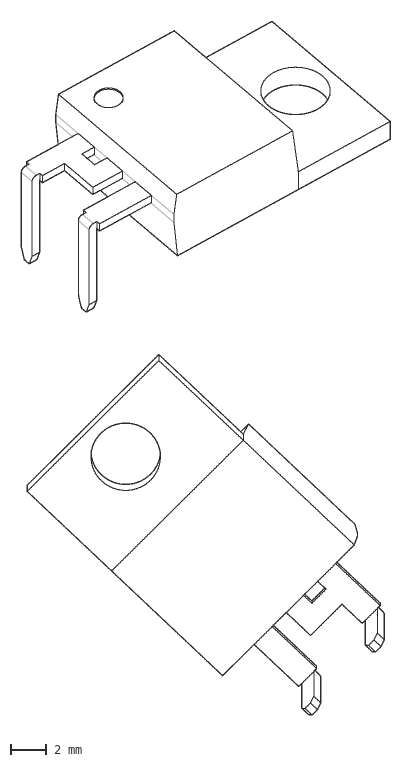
import cadquery as cq


package_width = 10.54
housing_length = 8.92
housing_height = 4.73
front_top_draft = 0.2
front_bottom_draft = 0.25
back_draft = 0.42

mark_radius = 0.81
mark_depth = 0.1
mark_x = -3.28
mark_y = 2.2

total_length = 19.77
tab_thickness = 1.36
tab_hole_radius = 1.94
tab_hole_from_end = 2.55

lead_reach = 4.27
lead_pitch = 5.08
lead_top = 3.3
lead_thickness = 0.55
lead_width = 1.45
bend_radius = 0.3
pin_width = 0.97
pin_tip_width = 0.43
pin_tip_length = 0.77
total_height = 8.2

arm_outer_x = 0.7
arm_width = 1.38
bridge_back_y = -0.89
bridge_front_y = -2.14

band_height = 0.61

tab_length = total_length - lead_reach - housing_length
tab_end_y = housing_length + tab_length
lead_bottom = lead_top - lead_thickness
pin_bottom = housing_height - total_height
pin_back_y = lead_thickness - lead_reach


def box_between(x_range, y_range, z_range):
    """Box that spans the given (low, high) ranges."""
    lows, highs = zip(x_range, y_range, z_range)
    size = [high - low for low, high in zip(lows, highs)]
    return cq.Workplane("XY").box(*size, centered=False).translate(lows)


def make_housing():
    """Drafted block with a shallow round index mark."""
    profile = [
        (front_bottom_draft, 0),
        (housing_length, 0),
        (housing_length, tab_thickness),
        (housing_length - back_draft, housing_height),
        (front_top_draft, housing_height),
        (0, lead_top),
        (0, lead_top - band_height),
    ]
    block = cq.Workplane("YZ").polyline(profile).close().extrude(package_width / 2, both=True)
    mark = (
        cq.Workplane("XY", origin=(mark_x, mark_y, housing_height - mark_depth))
        .circle(mark_radius)
        .extrude(mark_depth)
    )
    return block.cut(mark)


def make_tab():
    """Flat plate behind the housing, with a mounting hole through it."""
    half_width = package_width / 2
    plate = box_between((-half_width, half_width), (housing_length, tab_end_y), (0, tab_thickness))
    hole = (
        cq.Workplane("XY", origin=(0, tab_end_y - tab_hole_from_end, 0))
        .circle(tab_hole_radius)
        .extrude(tab_thickness)
    )
    return plate.cut(hole)


def make_pin(center_x):
    """Narrow downward leg with a tapered tip and a rounded outer bend."""
    taper_top = pin_bottom + pin_tip_length
    outline = [
        (-pin_width / 2, lead_top),
        (-pin_width / 2, taper_top),
        (-pin_tip_width / 2, pin_bottom),
        (pin_tip_width / 2, pin_bottom),
        (pin_width / 2, taper_top),
        (pin_width / 2, lead_top),
    ]
    leg = (
        cq.Workplane("XZ", origin=(center_x, pin_back_y, 0))
        .polyline(outline)
        .close()
        .extrude(lead_thickness)
    )
    return leg.faces(">Z").edges("<Y").fillet(bend_radius)


def make_lead(center_x):
    """Flat strip from the housing's front face, ending in a pin bent down."""
    strip = box_between(
        (center_x - lead_width / 2, center_x + lead_width / 2),
        (pin_back_y, 0),
        (lead_bottom, lead_top),
    )
    return strip.union(make_pin(center_x))


def make_side_arm(lead_x):
    """L-shaped arm from the lead's inner side back to the housing."""
    lead_z = (lead_bottom, lead_top)
    bridge = box_between((lead_x, arm_outer_x), (bridge_front_y, bridge_back_y), lead_z)
    arm = box_between((arm_outer_x - arm_width, arm_outer_x), (bridge_front_y, 0), lead_z)
    return bridge.union(arm)


housing = make_housing()
tab = make_tab()

leads = []
for side in (-1, 1):
    lead_x = side * lead_pitch / 2
    lead = make_lead(lead_x)
    if side < 0:
        lead = lead.union(make_side_arm(lead_x))
    leads.append(lead.val())

result = cq.Compound.makeCompound([housing.val(), tab.val(), *leads])